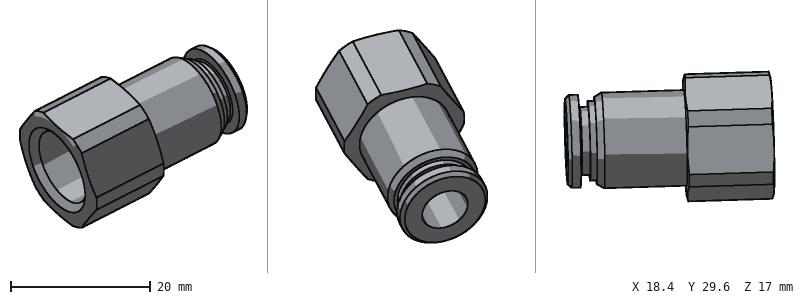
import cadquery as cq
import math


total_length = 29.6
hex_length = 12.5
front_y = -total_length / 2
back_y = total_length / 2
hex_back_y = front_y + hex_length
flange_thickness = 1.85
neck_length = 1.4
collar_length = 0.95
flange_front_y = back_y - flange_thickness
collar_back_y = flange_front_y - neck_length
body_back_y = collar_back_y - collar_length

across_flats = 17.0
corner_diameter = 18.4
hex_face_diameter = 16.85
hex_chamfer_angle = 15.0
hex_turn_angle = 30.0

body_diameter = 13.8
body_chamfer_length = 1.05
body_chamfer_angle = 30.0
collar_diameter = 11.5
neck_diameter = 9.85
neck_cone_length = 0.25
neck_cone_rise = 0.2
flange_diameter = 13.4
flange_chamfer = 0.55

port_diameter = 11.35
port_mouth_diameter = 13.4
port_depth = 11.0
port_chamfer_angle = 45.0
bore_diameter = 6.95
bore_mouth_diameter = 7.5
bore_chamfer_angle = 45.0


def turned(profile):
    """Revolve a closed (radius, y) profile around the Y axis."""
    return cq.Workplane("XY").polyline(profile).close().revolve(axisStart=(0, 0, 0), axisEnd=(0, 1, 0))


def cone_length(large_diameter, small_diameter, angle):
    """Axial length of a cone whose wall leans by the given angle from the axis."""
    return (large_diameter - small_diameter) / 2 / math.tan(math.radians(angle))


def hexagon():
    """Hexagon with flats facing up and down, turned corners and chamfered ends."""
    prism = (
        cq.Workplane("XZ", origin=(0, hex_back_y, 0))
        .polygon(6, across_flats, circumscribed=True)
        .extrude(hex_length)
        .rotate((0, 0, 0), (0, 1, 0), hex_turn_angle)
    )
    face_radius = hex_face_diameter / 2
    corner_radius = corner_diameter / 2
    chamfer_length = (corner_radius - face_radius) * math.tan(math.radians(hex_chamfer_angle))
    envelope = turned([
        (0, front_y),
        (face_radius, front_y),
        (corner_radius, front_y + chamfer_length),
        (corner_radius, hex_back_y - chamfer_length),
        (face_radius, hex_back_y),
        (0, hex_back_y),
    ])
    return prism.intersect(envelope)


def stem():
    """Body, collar, neck and release flange behind the hexagon."""
    body_radius = body_diameter / 2
    body_chamfer_drop = body_chamfer_length * math.tan(math.radians(body_chamfer_angle))
    collar_radius = collar_diameter / 2
    neck_radius = neck_diameter / 2
    flange_radius = flange_diameter / 2
    return turned([
        (0, hex_back_y),
        (body_radius, hex_back_y),
        (body_radius, body_back_y - body_chamfer_length),
        (body_radius - body_chamfer_drop, body_back_y),
        (collar_radius, body_back_y),
        (collar_radius, collar_back_y),
        (neck_radius, collar_back_y),
        (neck_radius, flange_front_y - neck_cone_length),
        (neck_radius + neck_cone_rise, flange_front_y),
        (flange_radius, flange_front_y),
        (flange_radius, back_y - flange_chamfer),
        (flange_radius - flange_chamfer, back_y),
        (0, back_y),
    ])


def passage():
    """Chamfered port in the hexagon, opening into the chamfered through bore."""
    port_floor_y = front_y + port_depth
    port_chamfer_length = cone_length(port_mouth_diameter, port_diameter, port_chamfer_angle)
    bore_chamfer_length = cone_length(bore_mouth_diameter, bore_diameter, bore_chamfer_angle)
    return turned([
        (0, front_y),
        (port_mouth_diameter / 2, front_y),
        (port_diameter / 2, front_y + port_chamfer_length),
        (port_diameter / 2, port_floor_y),
        (bore_mouth_diameter / 2, port_floor_y),
        (bore_diameter / 2, port_floor_y + bore_chamfer_length),
        (bore_diameter / 2, back_y),
        (0, back_y),
    ])


result = hexagon().union(stem()).cut(passage())